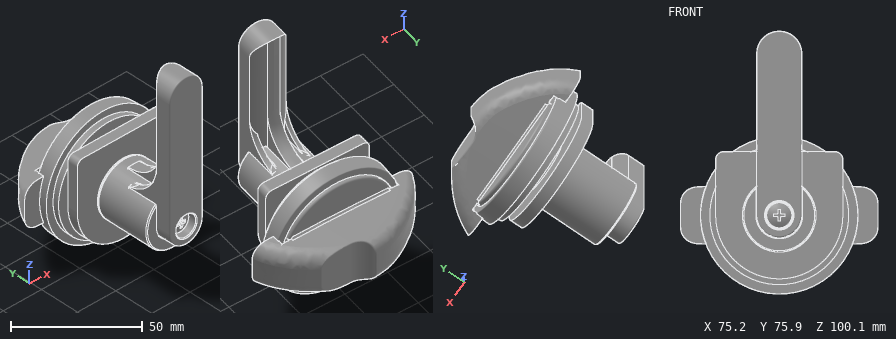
import cadquery as cq
import math


OVERALL_HEIGHT = 100.1

FLANGE_R = 30.0
FLANGE_BACK_R = 29.6
FLANGE_T = 7.0
FLANGE_ROUND = 0.5
SPIGOT_R = 26.4
SPIGOT_T = 3.0
NECK_R = 11.0
NECK_T = 2.9

PLATE_BACK_Y = -(SPIGOT_T + NECK_T)
PLATE_T = 5.2
PLATE_R = 24.2
PLATE_CORNER_R = 3.0

BOSS_BACK_Y = PLATE_BACK_Y - PLATE_T
BOSS_R = 14.0
BOSS_LENGTH = 27.6
BOSS_FRONT_Y = BOSS_BACK_Y - BOSS_LENGTH
BOSS_EDGE = 0.5
BOSS_SHOULDER_R = 13.7
BOSS_SHOULDER_T = 0.8

LEVER_FRONT_Y = -45.9
LEVER_R = 8.6
LEVER_TOP_Z = OVERALL_HEIGHT - FLANGE_R
LEVER_EDGE = 0.6
CREST_Y = -34.2
CREST_DROP_Y = 4.2
CREST_DROP_Z = 3.0
SWEEP_R = 17.4
RIB_BACK_Y = CREST_Y + SWEEP_R
RIB_BOTTOM_Z = BOSS_R
RIB_HALF_WIDTH = 2.9
PRONG_INNER_X = 6.4
PRONG_BOTTOM_Z = 10.8
PRONG_INNER_BOTTOM_Z = 11.6
PRONG_BACK_Y = -23.3
SIDE_GAP = 0.3
TONGUE_GAP = 0.5

COUNTERBORE_R = 5.2
COUNTERBORE_DEPTH = 5.0
COUNTERBORE_CHAMFER = 0.4
HEAD_R = 4.8
HEAD_RIM_T = 1.2
HEAD_T = 2.5
RECESS_SPAN = 4.4
RECESS_WIDTH = 1.1
RECESS_CENTRE_R = 0.9
RECESS_DEPTH = 1.2

KNOB_BASE_R = SPIGOT_R
KNOB_BASE_T = 2.0
KNOB_BASE_ROUND = 1.1
KNOB_FOOT_ROUND = 0.9
WING_Y = 3.9
WING_SPAN = 75.2
WING_X = WING_SPAN / 2
WING_RECESS_R = 29.3
GRIP_HALF_WIDTH = 11.6
GRIP_END_X = 42.5
GRIP_END_HALF_WIDTH = 10.2
GRIP_TAPER = 2.5
GRIP_ROUND = 6.2
DOME_TOP_Y = 30.1
DOME_POINTS = [(32.0, 13.2), (19.4, 24.1), (10.0, 28.7)]
THUMB_Y = 24.1
THUMB_START_X = -1.8
THUMB_FLAT_X = 5.7
THUMB_EDGE = 0.7


def disc(radius, y_front, thickness):
    """Round disc about the spindle axis, from y_front toward +Y."""
    return cq.Workplane("XZ", origin=(0, y_front, 0)).circle(radius).extrude(-thickness)


def slab(x_centre, half_width, y_front, y_back):
    """Tall block that covers the whole lever height."""
    height = 3 * LEVER_TOP_Z
    return cq.Workplane("XY").box(2 * half_width, y_back - y_front, height).translate(
        (x_centre, (y_front + y_back) / 2, 0)
    )


def flange_solid():
    """Slightly conical flange with a rounded back edge."""
    flange = (
        cq.Workplane("XY")
        .polyline([(0, 0), (FLANGE_R, 0), (FLANGE_BACK_R, FLANGE_T), (0, FLANGE_T)])
        .close()
        .revolve(360, (0, 0, 0), (0, 1, 0))
    )
    return flange.faces(">Y").edges().fillet(FLANGE_ROUND)


def make_housing():
    spigot = disc(SPIGOT_R, -SPIGOT_T, SPIGOT_T)
    neck = disc(NECK_R, PLATE_BACK_Y, NECK_T)
    return flange_solid().union(spigot).union(neck)


def make_plate():
    """Square-topped plate with a round lower half."""
    return (
        cq.Workplane("XZ", origin=(0, PLATE_BACK_Y, 0))
        .moveTo(-PLATE_R, 0)
        .lineTo(-PLATE_R, PLATE_R)
        .lineTo(PLATE_R, PLATE_R)
        .lineTo(PLATE_R, 0)
        .threePointArc((0, -PLATE_R), (-PLATE_R, 0))
        .close()
        .extrude(PLATE_T)
        .edges("|Y and >Z")
        .fillet(PLATE_CORNER_R)
    )


def lever_bar(gap, y_back):
    """Round-ended bar from the lever's front face back to y_back."""
    radius = LEVER_R + gap
    top_centre_z = LEVER_TOP_Z - LEVER_R
    return (
        cq.Workplane("XZ", origin=(0, y_back, 0))
        .moveTo(-radius, 0)
        .lineTo(-radius, top_centre_z)
        .threePointArc((0, top_centre_z + radius), (radius, top_centre_z))
        .lineTo(radius, 0)
        .threePointArc((0, -radius), (-radius, 0))
        .close()
        .extrude(y_back - LEVER_FRONT_Y)
    )


def space_behind(x, back_y, bottom_z):
    """Wire in the plane at x around the space behind the lever and above its foot."""
    corner = SWEEP_R * (1 - math.sqrt(0.5))
    far_y = back_y + 2 * SWEEP_R + BOSS_LENGTH
    far_z = 2 * LEVER_TOP_Z
    return (
        cq.Workplane("YZ", origin=(x, 0, 0))
        .moveTo(back_y, far_z)
        .lineTo(back_y, bottom_z + SWEEP_R)
        .threePointArc((back_y + corner, bottom_z + corner), (back_y + SWEEP_R, bottom_z))
        .lineTo(far_y, bottom_z)
        .lineTo(far_y, far_z)
        .close()
    )


def crowned_space():
    """Space behind the lever whose edge follows a convex arc across the width."""
    half_width = LEVER_R + SIDE_GAP
    chord = math.hypot(CREST_DROP_Y, CREST_DROP_Z)
    radius = (LEVER_R**2 + chord**2) / (2 * chord)
    drop = (radius - math.sqrt(radius**2 - half_width**2)) / chord
    drop_y = CREST_DROP_Y * drop
    drop_z = CREST_DROP_Z * drop
    side_y = CREST_Y - drop_y
    side_z = RIB_BOTTOM_Z - drop_z
    path = cq.Edge.makeThreePointArc(
        cq.Vector(-half_width, side_y, side_z),
        cq.Vector(0, CREST_Y, RIB_BOTTOM_Z),
        cq.Vector(half_width, side_y, side_z),
    )
    wire = space_behind(-half_width, side_y, side_z).wires().val()
    solid = cq.Solid.sweep(wire, [], path, True, False, cq.Vector(1, 0, 0))
    return cq.Workplane(obj=solid)


def sloped_space():
    """Space behind a prong, whose floor falls evenly toward the lever's side."""
    back_y = CREST_Y - CREST_DROP_Y
    slope = (PRONG_BOTTOM_Z - PRONG_INNER_BOTTOM_Z) / (LEVER_R - PRONG_INNER_X)
    near_x = PRONG_INNER_X / 2
    far_x = 2 * LEVER_R - near_x
    wires = [
        space_behind(x, back_y, PRONG_BOTTOM_Z + slope * (x - LEVER_R)).wires().val()
        for x in (near_x, far_x)
    ]
    return cq.Workplane(obj=cq.Solid.makeLoft(wires, True))


def crest_cylinder():
    """Upright cylinder whose rear is the convex back of the lever."""
    radius = (LEVER_R**2 + CREST_DROP_Y**2) / (2 * CREST_DROP_Y)
    return (
        cq.Workplane("XY", origin=(0, CREST_Y - radius, -LEVER_TOP_Z))
        .circle(radius)
        .extrude(3 * LEVER_TOP_Z)
    )


def lever_solid(side_gap, tongue_gap):
    """Lever with its rib and two prongs, widened by the given gaps."""
    bar = lever_bar(side_gap, RIB_BACK_Y)
    front_y = (LEVER_FRONT_Y + CREST_Y - CREST_DROP_Y) / 2
    blade_front = slab(0, 2 * LEVER_R, LEVER_FRONT_Y, front_y)
    blade = bar.intersect(crest_cylinder().union(blade_front))

    rib = bar.intersect(slab(0, RIB_HALF_WIDTH + tongue_gap, front_y, RIB_BACK_Y))
    lever = blade.union(rib.cut(crowned_space()))

    inner_x = PRONG_INNER_X - tongue_gap
    outer_x = LEVER_R + side_gap
    strip = slab((inner_x + outer_x) / 2, (outer_x - inner_x) / 2, front_y, PRONG_BACK_Y)
    prong = bar.intersect(strip).cut(sloped_space())
    return lever.union(prong).union(prong.mirror("YZ"))


def make_boss():
    """Round boss with a slot that the lever's foot fits into."""
    shoulder = disc(BOSS_SHOULDER_R, BOSS_BACK_Y - BOSS_SHOULDER_T, BOSS_SHOULDER_T)
    barrel = disc(BOSS_R, BOSS_FRONT_Y, BOSS_LENGTH - BOSS_SHOULDER_T)
    barrel = barrel.faces("<Y").edges().chamfer(BOSS_EDGE)
    return barrel.union(shoulder).cut(lever_solid(SIDE_GAP, TONGUE_GAP))


def make_lever():
    lever = lever_solid(0, 0).faces("<Y").edges().fillet(LEVER_EDGE)
    counterbore = disc(COUNTERBORE_R, LEVER_FRONT_Y, COUNTERBORE_DEPTH)
    rim = (
        cq.Workplane("XZ", origin=(0, LEVER_FRONT_Y, 0))
        .circle(COUNTERBORE_R + COUNTERBORE_CHAMFER)
        .workplane(offset=-COUNTERBORE_CHAMFER)
        .circle(COUNTERBORE_R)
        .loft()
    )
    return lever.cut(counterbore).cut(rim)


def make_screw():
    """Domed screw head with a cross recess."""
    seat_y = LEVER_FRONT_Y + COUNTERBORE_DEPTH
    rim_y = seat_y - HEAD_RIM_T
    apex_y = seat_y - HEAD_T
    dome_h = HEAD_T - HEAD_RIM_T
    dome_r = (HEAD_R**2 + dome_h**2) / (2 * dome_h)
    mid_x = HEAD_R / 2
    mid_y = apex_y + dome_r - math.sqrt(dome_r**2 - mid_x**2)
    head = (
        cq.Workplane("XY")
        .moveTo(0, seat_y)
        .lineTo(HEAD_R, seat_y)
        .lineTo(HEAD_R, rim_y)
        .threePointArc((mid_x, mid_y), (0, apex_y))
        .close()
        .revolve(360, (0, 0, 0), (0, 1, 0))
    )
    recess = (
        cq.Workplane("XZ", origin=(0, apex_y, 0))
        .rect(RECESS_SPAN, RECESS_WIDTH)
        .extrude(-RECESS_DEPTH)
        .union(disc(RECESS_CENTRE_R, apex_y, RECESS_DEPTH))
    )
    return head.cut(recess).cut(recess.rotate((0, 0, 0), (0, 1, 0), 90))


def grip_solid():
    """Domed cross-bar of the knob with rounded long edges."""
    left = [(-x, y) for x, y in DOME_POINTS]
    right = list(reversed(DOME_POINTS))
    dome = (
        cq.Workplane("XY", origin=(0, 0, -2 * GRIP_HALF_WIDTH))
        .moveTo(-WING_X, WING_Y)
        .spline(left + [(0, DOME_TOP_Y)] + right + [(WING_X, WING_Y)], includeCurrent=True)
        .close()
        .extrude(4 * GRIP_HALF_WIDTH)
    )
    sides = (
        cq.Workplane("XZ", origin=(0, WING_Y, 0))
        .moveTo(-GRIP_END_X, -GRIP_END_HALF_WIDTH)
        .threePointArc((0, -GRIP_HALF_WIDTH), (GRIP_END_X, -GRIP_END_HALF_WIDTH))
        .lineTo(GRIP_END_X, GRIP_END_HALF_WIDTH)
        .threePointArc((0, GRIP_HALF_WIDTH), (-GRIP_END_X, GRIP_END_HALF_WIDTH))
        .close()
        .extrude(-DOME_TOP_Y, taper=GRIP_TAPER)
    )
    grip = dome.intersect(sides)
    long_edges = grip.edges("not <Y").edges("not |Z")
    return long_edges.fillet(GRIP_ROUND)


def thumb_notch():
    """Cutter for the thumb rest: a concave arc that runs out into a flat."""
    far_x = WING_X
    rise = DOME_TOP_Y - THUMB_Y
    run = THUMB_FLAT_X - THUMB_START_X
    radius = (run**2 + rise**2) / (2 * rise)
    mid_x = THUMB_FLAT_X - run / 2
    mid_y = THUMB_Y + radius - math.sqrt(radius**2 - (run / 2) ** 2)
    return (
        cq.Workplane("XY", origin=(0, 0, -2 * GRIP_HALF_WIDTH))
        .moveTo(THUMB_START_X, DOME_TOP_Y)
        .threePointArc((mid_x, mid_y), (THUMB_FLAT_X, THUMB_Y))
        .lineTo(far_x, THUMB_Y)
        .lineTo(far_x, 2 * DOME_TOP_Y)
        .lineTo(THUMB_START_X, 2 * DOME_TOP_Y)
        .close()
        .extrude(4 * GRIP_HALF_WIDTH)
    )


def edges_within(x_low, x_high, y_low, y_high):
    """Selector for the knob edges that lie wholly within a range across the grip's width."""
    margin = 0.1
    return cq.selectors.BoxSelector(
        (x_low - margin, y_low - margin, -GRIP_HALF_WIDTH),
        (x_high + margin, y_high + margin, GRIP_HALF_WIDTH),
        boundingbox=True,
    )


def round_thumb_edges(grip):
    thumb_edges = edges_within(THUMB_START_X, WING_X, THUMB_Y, DOME_TOP_Y)
    return grip.edges(thumb_edges).fillet(THUMB_EDGE)


def knob_base(grip):
    """Round base under the grip, with a fillet along the grip's foot and a rounded rim."""
    top_y = FLANGE_T + KNOB_BASE_T
    plain_grip = grip.intersect(disc(2 * WING_X, top_y, DOME_TOP_Y))
    wide_base = disc(2 * WING_X, FLANGE_T, KNOB_BASE_T).union(plain_grip)
    foot_edges = edges_within(-WING_X, WING_X, top_y, top_y)
    filleted = wide_base.edges(foot_edges).fillet(KNOB_FOOT_ROUND)

    shoulder_y = top_y - KNOB_BASE_ROUND
    shoulder_r = KNOB_BASE_R - KNOB_BASE_ROUND
    mid_offset = KNOB_BASE_ROUND * math.sqrt(0.5)
    rim = (
        cq.Workplane("XY")
        .moveTo(KNOB_BASE_R, shoulder_y)
        .threePointArc((shoulder_r + mid_offset, shoulder_y + mid_offset), (shoulder_r, top_y))
        .lineTo(shoulder_r, DOME_TOP_Y)
        .lineTo(KNOB_BASE_R, DOME_TOP_Y)
        .close()
        .revolve(360, (0, 0, 0), (0, 1, 0))
    )
    base = filleted.intersect(disc(KNOB_BASE_R, FLANGE_T, 2 * KNOB_BASE_T))
    return base.cut(rim.cut(grip))


def make_knob():
    """Grip on a round base; its two wings hook over the flange."""
    base_top_y = FLANGE_T + KNOB_BASE_T
    whole_grip = grip_solid()
    grip = round_thumb_edges(whole_grip.cut(thumb_notch()))
    base = knob_base(whole_grip)
    hooked_grip = grip.cut(disc(WING_RECESS_R, 0, base_top_y)).cut(flange_solid())
    return hooked_grip.union(base)


housing = make_housing()
plate = make_plate()
boss = make_boss()
lever = make_lever()
screw = make_screw()
knob = make_knob()

bodies = [housing, plate, boss, lever, screw, knob]
result = cq.Compound.makeCompound([body.solids().val() for body in bodies])